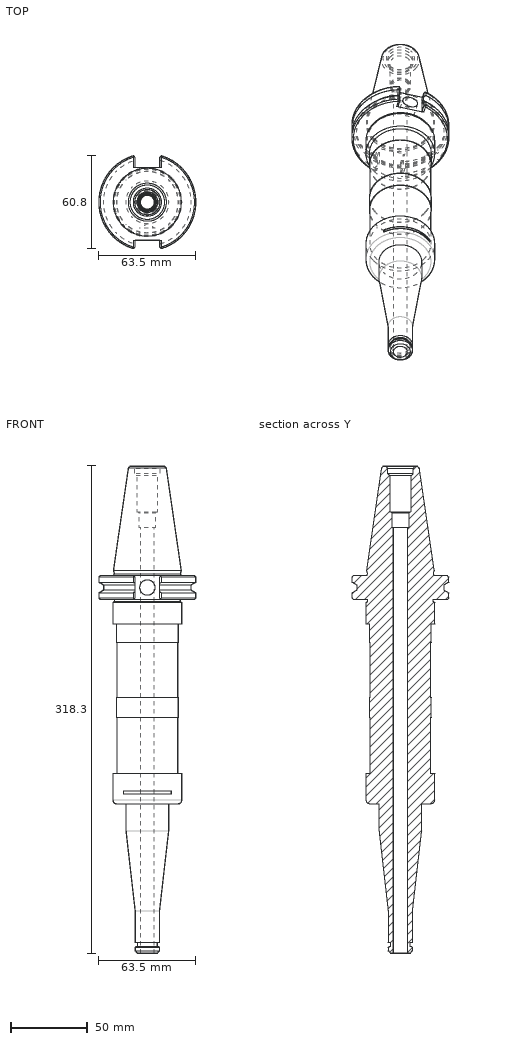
import cadquery as cq
import math

GAUGE_DIAMETER = 44.45
TAPER_RATIO = 7 / 24
TAPER_LENGTH = 68.25
TAPER_TOP_CHAMFER = 1.2
UNDERCUT_DIAMETER = 43.3
UNDERCUT_DEEPEST = -2.2

FLANGE_DIAMETER = 63.5
FLANGE_TOP = -3.18
FLANGE_BOTTOM = -19.05
FLANGE_EDGE_CHAMFER = 1.0
GROOVE_CENTER = -11.1
GROOVE_ROOT_DIAMETER = 57.2
GROOVE_ROOT_WIDTH = 3.2
GROOVE_HALF_ANGLE = 30.0
SLOT_WIDTH = 16.1
SLOT_EDGE_CHAMFER = 1.1
FRONT_SLOT_FLOOR = 25.0
REAR_SLOT_FLOOR = 22.8
CHIP_HOLE_DIAMETER = 10.0
CHIP_HOLE_DEPTH = 8.0
DRILL_POINT_ANGLE = 118.0

NECK_DIAMETER = 43.0
NECK_BOTTOM = -20.3
UPPER_COLLAR_CHAMFER = 0.7
COLLAR_DIAMETER = 45.0
UPPER_COLLAR_BOTTOM = -35.0
BAND_DIAMETER = 40.5
UPPER_BAND_BOTTOM = -47.0
BODY_DIAMETER = 40.0
MIDDLE_BAND_TOP = -83.0
MIDDLE_BAND_BOTTOM = -96.0
LOWER_COLLAR_TOP = -132.5
LOWER_COLLAR_BOTTOM = -152.5
LOWER_COLLAR_FILLET = 2.5
ARC_GROOVE_TOP = -144.0
ARC_GROOVE_BOTTOM = -146.0
ARC_GROOVE_DEPTH = 0.2
ARC_GROOVE_ANGLE = 88.0

SHANK_DIAMETER = 28.0
CONE_TOP = -170.0
CONE_BOTTOM = -222.5
NOSE_DIAMETER = 16.0
NOSE_NECK_DIAMETER = 13.0
NOSE_BOTTOM = -243.0
TIP_RING_TOP = -245.5
TIP_RING_CHAMFER = 0.7
TIP_CONE_TOP = -248.4
TIP_DIAMETER = 13.0
PART_BOTTOM = -250.0

MOUTH_DIAMETER = 18.4
MOUTH_CHAMFER_DEPTH = 1.7
PILOT_DIAMETER = 16.5
PILOT_BOTTOM_DEPTH = 5.0
THREAD_DIAMETER = 13.53
THREAD_CONE_DEPTH = 6.3
THREAD_BOTTOM_DEPTH = 30.0
DRILLED_DIAMETER = 10.7
DRILLED_MOUTH_DIAMETER = 12.0
DRILLED_BOTTOM_DEPTH = 40.0
BORE_DIAMETER = 9.0

CUT_CLEARANCE = 1.0


def taper_radius(z):
    """Radius of the spindle taper at height z above the gauge plane."""
    return (GAUGE_DIAMETER - TAPER_RATIO * z) / 2


def revolve(profile):
    """Turn a closed (radius, z) profile about the Z axis."""
    return cq.Workplane("XZ").polyline(profile).close().revolve(360, (0, 0, 0), (0, 1, 0))


def make_taper():
    """Spindle taper with a chamfered top and the undercut above the flange."""
    shoulder = TAPER_LENGTH - TAPER_TOP_CHAMFER
    return revolve([
        (0, FLANGE_TOP),
        (taper_radius(0), FLANGE_TOP),
        (UNDERCUT_DIAMETER / 2, UNDERCUT_DEEPEST),
        (taper_radius(0), 0),
        (taper_radius(shoulder), shoulder),
        (taper_radius(shoulder) - TAPER_TOP_CHAMFER, TAPER_LENGTH),
        (0, TAPER_LENGTH),
    ])


def make_flange():
    """Gripper flange with a V-groove and two opposite driving slots."""
    rim = FLANGE_DIAMETER / 2
    root = GROOVE_ROOT_DIAMETER / 2
    half_root = GROOVE_ROOT_WIDTH / 2
    half_mouth = half_root + (rim - root) * math.tan(math.radians(GROOVE_HALF_ANGLE))
    disc = revolve([
        (0, FLANGE_BOTTOM),
        (rim - FLANGE_EDGE_CHAMFER, FLANGE_BOTTOM),
        (rim, FLANGE_BOTTOM + FLANGE_EDGE_CHAMFER),
        (rim, GROOVE_CENTER - half_mouth),
        (root, GROOVE_CENTER - half_root),
        (root, GROOVE_CENTER + half_root),
        (rim, GROOVE_CENTER + half_mouth),
        (rim, FLANGE_TOP - FLANGE_EDGE_CHAMFER),
        (rim - FLANGE_EDGE_CHAMFER, FLANGE_TOP),
        (0, FLANGE_TOP),
    ])
    return disc.cut(make_slot(FRONT_SLOT_FLOOR, -1)).cut(make_slot(REAR_SLOT_FLOOR, 1))


def mirrored(right_half):
    """Close an outline by adding the mirror image of its right-hand points."""
    return right_half + [(-x, y) for x, y in reversed(right_half)]


def make_slot(floor, side):
    """Driving slot with chamfered top, bottom and rim edges; side is +1 or -1 along Y."""
    half = SLOT_WIDTH / 2
    flared = half + SLOT_EDGE_CHAMFER
    rim_corner = math.sqrt((FLANGE_DIAMETER / 2) ** 2 - flared ** 2)
    outside = FLANGE_DIAMETER / 2 + CUT_CLEARANCE

    plan = mirrored([
        (half, floor),
        (half, rim_corner - SLOT_EDGE_CHAMFER),
        (flared, rim_corner),
        (flared, outside),
    ])
    height = FLANGE_TOP - FLANGE_BOTTOM
    channel = cq.Workplane("XY").workplane(offset=FLANGE_BOTTOM).polyline(plan).close().extrude(height)

    section = mirrored([
        (flared, FLANGE_BOTTOM),
        (half, FLANGE_BOTTOM + SLOT_EDGE_CHAMFER),
        (half, FLANGE_TOP - SLOT_EDGE_CHAMFER),
        (flared, FLANGE_TOP),
    ])
    rim_plane = cq.Workplane("XZ").workplane(offset=-outside)
    edge_bevels = rim_plane.polyline(section).close().extrude(outside - floor)

    slot = channel.union(edge_bevels)
    return slot if side > 0 else slot.mirror("XZ")


def make_body():
    """Cylindrical body with its collars and bands, ending at the lower collar."""
    collar = COLLAR_DIAMETER / 2
    body = revolve([
        (0, FLANGE_BOTTOM),
        (NECK_DIAMETER / 2, FLANGE_BOTTOM),
        (NECK_DIAMETER / 2, NECK_BOTTOM),
        (collar - UPPER_COLLAR_CHAMFER, NECK_BOTTOM),
        (collar, NECK_BOTTOM - UPPER_COLLAR_CHAMFER),
        (collar, UPPER_COLLAR_BOTTOM),
        (BAND_DIAMETER / 2, UPPER_COLLAR_BOTTOM),
        (BAND_DIAMETER / 2, UPPER_BAND_BOTTOM),
        (BODY_DIAMETER / 2, UPPER_BAND_BOTTOM),
        (BODY_DIAMETER / 2, MIDDLE_BAND_TOP),
        (BAND_DIAMETER / 2, MIDDLE_BAND_TOP),
        (BAND_DIAMETER / 2, MIDDLE_BAND_BOTTOM),
        (BODY_DIAMETER / 2, MIDDLE_BAND_BOTTOM),
        (BODY_DIAMETER / 2, LOWER_COLLAR_TOP),
        (collar, LOWER_COLLAR_TOP),
        (collar, LOWER_COLLAR_BOTTOM),
        (0, LOWER_COLLAR_BOTTOM),
    ])
    body = body.faces("<Z").edges().fillet(LOWER_COLLAR_FILLET)
    return body.cut(make_arc_groove())


def make_nose():
    """Slender shank, cone and grooved tip below the lower collar."""
    nose = NOSE_DIAMETER / 2
    return revolve([
        (0, LOWER_COLLAR_BOTTOM),
        (SHANK_DIAMETER / 2, LOWER_COLLAR_BOTTOM),
        (SHANK_DIAMETER / 2, CONE_TOP),
        (nose, CONE_BOTTOM),
        (nose, NOSE_BOTTOM),
        (NOSE_NECK_DIAMETER / 2, NOSE_BOTTOM),
        (NOSE_NECK_DIAMETER / 2, TIP_RING_TOP),
        (nose - TIP_RING_CHAMFER, TIP_RING_TOP),
        (nose, TIP_RING_TOP - TIP_RING_CHAMFER),
        (nose, TIP_CONE_TOP),
        (TIP_DIAMETER / 2, PART_BOTTOM),
        (0, PART_BOTTOM),
    ])


def make_arc_groove():
    """Shallow groove running part way round the lower collar."""
    outer = COLLAR_DIAMETER / 2 + CUT_CLEARANCE
    inner = COLLAR_DIAMETER / 2 - ARC_GROOVE_DEPTH
    section = cq.Workplane("XZ").polyline([
        (inner, ARC_GROOVE_BOTTOM),
        (outer, ARC_GROOVE_BOTTOM),
        (outer, ARC_GROOVE_TOP),
        (inner, ARC_GROOVE_TOP),
    ]).close()
    groove = section.revolve(ARC_GROOVE_ANGLE, (0, 0, 0), (0, 1, 0))
    return groove.rotate((0, 0, 0), (0, 0, 1), -90 - ARC_GROOVE_ANGLE / 2)


def make_bore():
    """Stepped through bore: mouth chamfer, pilot, thread hole, drilled hole and coolant bore."""
    thread_bottom = TAPER_LENGTH - THREAD_BOTTOM_DEPTH
    drilled_chamfer = (DRILLED_MOUTH_DIAMETER - DRILLED_DIAMETER) / 2
    drilled_bottom = TAPER_LENGTH - DRILLED_BOTTOM_DEPTH
    return revolve([
        (0, PART_BOTTOM),
        (BORE_DIAMETER / 2, PART_BOTTOM),
        (BORE_DIAMETER / 2, drilled_bottom),
        (DRILLED_DIAMETER / 2, drilled_bottom),
        (DRILLED_DIAMETER / 2, thread_bottom - drilled_chamfer),
        (DRILLED_MOUTH_DIAMETER / 2, thread_bottom),
        (THREAD_DIAMETER / 2, thread_bottom),
        (THREAD_DIAMETER / 2, TAPER_LENGTH - THREAD_CONE_DEPTH),
        (PILOT_DIAMETER / 2, TAPER_LENGTH - PILOT_BOTTOM_DEPTH),
        (PILOT_DIAMETER / 2, TAPER_LENGTH - MOUTH_CHAMFER_DEPTH),
        (MOUTH_DIAMETER / 2, TAPER_LENGTH),
        (0, TAPER_LENGTH),
    ])


def make_chip_hole():
    """Blind hole with a drill point in the floor of the -Y slot."""
    radius = CHIP_HOLE_DIAMETER / 2
    point = radius / math.tan(math.radians(DRILL_POINT_ANGLE / 2))
    floor = -FRONT_SLOT_FLOOR
    bottom = floor + CHIP_HOLE_DEPTH
    profile = [(0, floor), (radius, floor), (radius, bottom), (0, bottom + point)]
    hole = cq.Workplane("XY").polyline(profile).close().revolve(360, (0, 0, 0), (0, 1, 0))
    return hole.translate((0, 0, GROOVE_CENTER))


solid = make_taper().union(make_flange()).union(make_body()).union(make_nose())
result = solid.cut(make_bore()).cut(make_chip_hole())